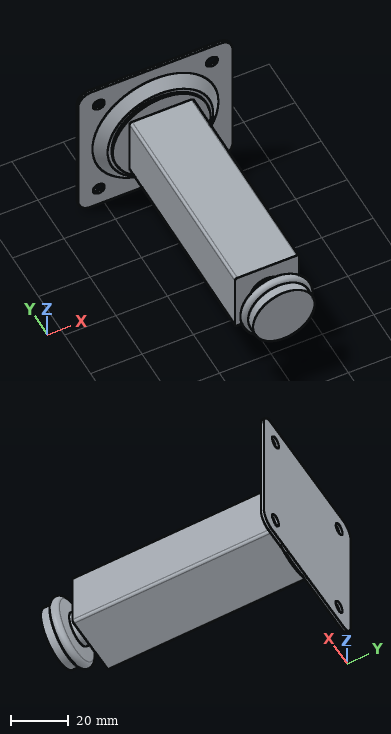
import cadquery as cq

plate_side = 60.0
plate_thickness = 1.2
plate_corner_radius = 5.0
hole_spacing = 44.0
hole_diameter = 4.5

cone_base_radius = 24.5
cone_top_radius = 20.5
cone_end = 5.0
disc_radius = 19.0
disc_end = 6.0

leg_side = 25.0
leg_edge_radius = 1.0
leg_end = 87.0

neck_radius = 6.5
shoulder_start = 91.8
rim_start = 92.5
rim_end = 96.2
foot_radius = 12.0
overall_length = 100.0

rim_round = (rim_end - rim_start) / 2
rim_radius = foot_radius + rim_round
rim_middle = (rim_start + rim_end) / 2


def section(start):
    """Sketch plane at a distance from the back of the plate, facing the foot (-Y)."""
    return cq.Workplane("XZ", origin=(0, -start, 0))


def make_plate():
    plate = section(0).rect(plate_side, plate_side).extrude(plate_thickness)
    plate = plate.edges("|Y").fillet(plate_corner_radius)
    holes = (
        section(0)
        .rect(hole_spacing, hole_spacing, forConstruction=True)
        .vertices()
        .circle(hole_diameter / 2)
        .extrude(plate_thickness)
    )
    return plate.cut(holes)


def make_flange():
    """Cone and disc, turned about the Y axis."""
    profile = (
        cq.Workplane("XY")
        .moveTo(0, 0)
        .lineTo(cone_top_radius, 0)
        .lineTo(cone_base_radius, -plate_thickness)
        .lineTo(cone_top_radius, -cone_end)
        .lineTo(disc_radius, -cone_end)
        .lineTo(disc_radius, -disc_end)
        .lineTo(0, -disc_end)
        .close()
    )
    return profile.revolve(360, (0, 0, 0), (0, 1, 0))


def make_leg():
    leg = section(disc_end).rect(leg_side, leg_side).extrude(leg_end - disc_end)
    return leg.edges("|Y").fillet(leg_edge_radius)


def make_foot():
    """Neck, sloping shoulder, rounded rim and flat foot, turned about the Y axis."""
    profile = (
        cq.Workplane("XY")
        .moveTo(0, -leg_end)
        .lineTo(neck_radius, -leg_end)
        .lineTo(neck_radius, -shoulder_start)
        .lineTo(foot_radius, -rim_start)
        .threePointArc((rim_radius, -rim_middle), (foot_radius, -rim_end))
        .lineTo(foot_radius, -overall_length)
        .lineTo(0, -overall_length)
        .close()
    )
    return profile.revolve(360, (0, 0, 0), (0, 1, 0))


result = make_plate().union(make_flange()).union(make_leg()).union(make_foot())